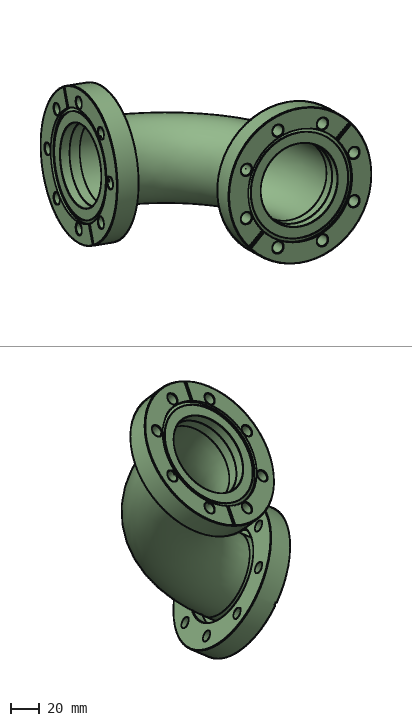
import cadquery as cq


FLANGE_DIAMETER = 113.5
FLANGE_THICKNESS = 17.5
EDGE_CHAMFER = 0.5
BOLT_COUNT = 8
BOLT_CIRCLE_DIAMETER = 92.2
BOLT_HOLE_DIAMETER = 8.4
BOLT_HOLE_CHAMFER = 0.4
BOLT_PITCH = 360 / BOLT_COUNT

RECESS_RADIUS = 41.2
KNIFE_RADIUS = 38.6
KNIFE_TIP_DEPTH = 0.7
INNER_FACE_DEPTH = 1.5
RECESS_FLOOR_DEPTH = 2.1
LEAK_GROOVE_WIDTH = 2.0
LEAK_GROOVE_DEPTH = 1.0

TUBE_OUTER_RADIUS = 31.75
TUBE_INNER_RADIUS = 30.0
ENTRY_BORE_RADIUS = 30.3
ENTRY_CHAMFER = 0.3
BORE_STEP_DEPTH = 9.0
TUBE_JOINT_DEPTH = 17.0

RING_BORE_RADIUS = 36.0
INSERT_HEAD_DEPTH = BORE_STEP_DEPTH

FLANGE_RADIUS = FLANGE_DIAMETER / 2
CENTER_TO_FACE = 114.3
BEND_RADIUS = CENTER_TO_FACE - TUBE_JOINT_DEPTH
LEAK_GROOVE_ANGLE = 1.5 * BOLT_PITCH
RING_TURN = BOLT_PITCH / 2



def disc(radius, start, end):
    """Round disc between two depths behind the sealing face."""
    return cq.Workplane("XY").workplane(offset=start).circle(radius).extrude(end - start)


def turned_profile(points):
    """Solid of revolution about local z from (radius, depth) points."""
    return cq.Workplane("XZ").polyline(points).close().revolve(360, (0, 0, 0), (0, 1, 0))


def bolt_holes():
    """Cutters for the bolt holes, widened by a chamfer at the sealing face."""
    hole_radius = BOLT_HOLE_DIAMETER / 2
    mouth_radius = hole_radius + BOLT_HOLE_CHAMFER
    profile = [
        (0, 0),
        (mouth_radius, 0),
        (hole_radius, BOLT_HOLE_CHAMFER),
        (hole_radius, FLANGE_THICKNESS),
        (0, FLANGE_THICKNESS),
    ]
    hole = turned_profile(profile)
    spots = cq.Workplane("XY").polarArray(BOLT_CIRCLE_DIAMETER / 2, 0, 360, BOLT_COUNT)
    return spots.eachpoint(lambda spot: hole.val().moved(spot), combine=False)


def leak_groove():
    """Cutter for the two opposite leak-check grooves outside the recess."""
    groove = cq.Workplane("XY").box(
        FLANGE_DIAMETER,
        LEAK_GROOVE_WIDTH,
        LEAK_GROOVE_DEPTH,
        centered=(True, True, False),
    )
    groove = groove.cut(disc(RECESS_RADIUS, 0, LEAK_GROOVE_DEPTH))
    return groove.rotate((0, 0, 0), (0, 0, 1), LEAK_GROOVE_ANGLE)


def flange_blank():
    blank = disc(FLANGE_RADIUS, 0, FLANGE_THICKNESS).edges().chamfer(EDGE_CHAMFER)
    for hole in bolt_holes().vals():
        blank = blank.cut(cq.Workplane(hole))
    return blank.cut(leak_groove())


def stepped_bore():
    """Bore cutter with a chamfered mouth at the inner face and a step down to the tube bore."""
    mouth_radius = ENTRY_BORE_RADIUS + ENTRY_CHAMFER
    profile = [
        (0, INNER_FACE_DEPTH),
        (mouth_radius, INNER_FACE_DEPTH),
        (ENTRY_BORE_RADIUS, INNER_FACE_DEPTH + ENTRY_CHAMFER),
        (ENTRY_BORE_RADIUS, BORE_STEP_DEPTH),
        (TUBE_INNER_RADIUS, BORE_STEP_DEPTH),
        (TUBE_INNER_RADIUS, FLANGE_THICKNESS),
        (0, FLANGE_THICKNESS),
    ]
    return turned_profile(profile)


def seal_recess():
    """Recess whose knife edge has a conical outer flank and a straight inner wall."""
    profile = [
        (0, 0),
        (RECESS_RADIUS, 0),
        (RECESS_RADIUS, RECESS_FLOOR_DEPTH),
        (KNIFE_RADIUS, KNIFE_TIP_DEPTH),
        (KNIFE_RADIUS, INNER_FACE_DEPTH),
        (0, INNER_FACE_DEPTH),
    ]
    return turned_profile(profile)


def bent_bar(radius):
    """Quarter turn of a round bar, leaving the fixed flange along +Y and ending along +X."""
    return (
        cq.Workplane("XZ", origin=(0, -BEND_RADIUS, 0))
        .circle(radius)
        .revolve(90, (BEND_RADIUS, 0, 0), (BEND_RADIUS, -1, 0))
    )


def make_elbow_tube():
    return bent_bar(TUBE_OUTER_RADIUS).cut(bent_bar(TUBE_INNER_RADIUS)).solids()


def make_fixed_flange():
    flange = flange_blank().cut(seal_recess()).cut(stepped_bore())
    seat = cq.Plane(origin=(0, -CENTER_TO_FACE, 0), xDir=(-1, 0, 0), normal=(0, 1, 0))
    placed = cq.Workplane(flange.val().moved(seat.location))
    return placed.cut(bent_bar(TUBE_OUTER_RADIUS)).solids()


def place_at_rotatable_end(part):
    seat = cq.Plane(origin=(CENTER_TO_FACE, 0, 0), xDir=(0, 0, 1), normal=(-1, 0, 0))
    turned = part.rotate((0, 0, 0), (0, 0, 1), -RING_TURN)
    return cq.Workplane(turned.val().moved(seat.location)).solids()


def make_rotatable_ring():
    ring = flange_blank().cut(disc(RECESS_RADIUS, 0, INSERT_HEAD_DEPTH))
    ring = ring.cut(disc(RING_BORE_RADIUS, INSERT_HEAD_DEPTH, FLANGE_THICKNESS))
    rim = ring.faces(">Z").edges(cq.selectors.RadiusNthSelector(-2))
    return place_at_rotatable_end(rim.chamfer(EDGE_CHAMFER))


def make_insert():
    head = disc(RECESS_RADIUS, 0, INSERT_HEAD_DEPTH).cut(seal_recess())
    neck = disc(TUBE_OUTER_RADIUS, INSERT_HEAD_DEPTH, TUBE_JOINT_DEPTH)
    return place_at_rotatable_end(head.union(neck).cut(stepped_bore()))


elbow_tube = make_elbow_tube()
fixed_flange = make_fixed_flange()
rotatable_ring = make_rotatable_ring()
insert = make_insert()

result = cq.Compound.makeCompound(
    [elbow_tube.val(), fixed_flange.val(), rotatable_ring.val(), insert.val()]
)